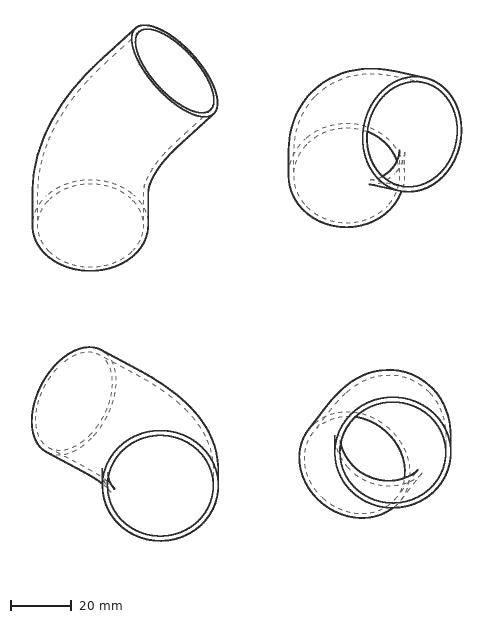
import cadquery as cq
import math

total_height = 84.0
outer_diameter = 38.1
inner_diameter = 34.8
collar_length = 17.6
bend_angle = 45.0

angle = math.radians(bend_angle)
collars_height = collar_length * (1 + math.cos(angle))
outer_bend_radius = (total_height - collars_height) / math.sin(angle)
bend_radius = outer_bend_radius - outer_diameter / 2


def pipe_ring(plane):
    """Ring-shaped pipe cross-section on the given plane."""
    return cq.Workplane(plane).circle(outer_diameter / 2).circle(inner_diameter / 2)


lower_collar = pipe_ring(cq.Plane.XY()).extrude(collar_length)

bend_start = cq.Plane(origin=(0, 0, collar_length))
bend = pipe_ring(bend_start).revolve(bend_angle, (0, bend_radius, 0), (-1, bend_radius, 0))

bend_end = cq.Plane(
    origin=(
        0,
        bend_radius * (1 - math.cos(angle)),
        collar_length + bend_radius * math.sin(angle),
    ),
    xDir=(1, 0, 0),
    normal=(0, math.sin(angle), math.cos(angle)),
)
upper_collar = pipe_ring(bend_end).extrude(collar_length)

result = lower_collar.union(bend).union(upper_collar)